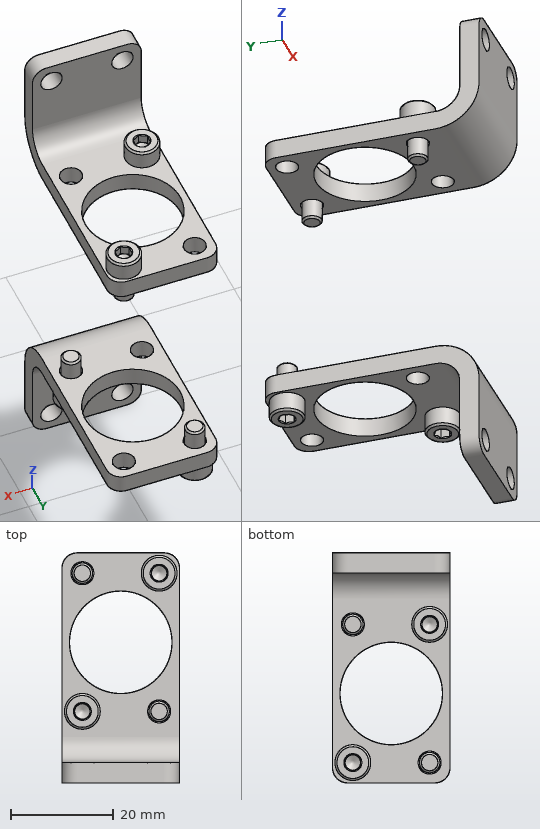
import cadquery as cq
import math

overall_height = 100.0

width = 23.0
plate_length = 45.0
leg_height = 25.0
thickness = 4.0
inner_bend_radius = 5.0
outer_bend_radius = inner_bend_radius + thickness
corner_radius = 3.0
bore_diameter = 20.0
clearance_diameter = 4.5
edge_distance = 4.0
hole_pitch_x = width - 2 * edge_distance
hole_pitch_y = 27.0

plate_end_y = hole_pitch_y / 2 + edge_distance
leg_face_y = plate_end_y - plate_length
plate_bottom_z = overall_height / 2 - leg_height
plate_top_z = plate_bottom_z + thickness
leg_top_z = plate_bottom_z + leg_height

head_diameter = 7.0
head_height = 4.0
head_chamfer = 0.4
shank_diameter = 4.0
shank_length = 8.0
tip_chamfer = 0.4
socket_across_flats = 3.0
socket_depth = 2.0
socket_mouth_diameter = 3.5
socket_point_angle = 120.0

screw_places = [
    (hole_pitch_x / 2, hole_pitch_y / 2),
    (-hole_pitch_x / 2, -hole_pitch_y / 2),
]


def make_angle_blank():
    """Bent plate with its two free ends still square."""
    profile = (
        cq.Workplane("YZ")
        .moveTo(leg_face_y, leg_top_z)
        .lineTo(leg_face_y, plate_bottom_z + outer_bend_radius)
        .radiusArc((leg_face_y + outer_bend_radius, plate_bottom_z), -outer_bend_radius)
        .lineTo(plate_end_y, plate_bottom_z)
        .lineTo(plate_end_y, plate_top_z)
        .lineTo(leg_face_y + outer_bend_radius, plate_top_z)
        .radiusArc((leg_face_y + thickness, plate_bottom_z + outer_bend_radius), inner_bend_radius)
        .lineTo(leg_face_y + thickness, leg_top_z)
        .close()
    )
    return profile.extrude(width / 2, both=True)


def make_bracket():
    """Upper bracket, with rounded free corners, bore and clearance holes."""
    bracket = make_angle_blank()
    bracket = bracket.faces(">Y").edges("|Z").fillet(corner_radius)
    bracket = bracket.faces(">Z").edges("|Y").fillet(corner_radius)

    bore = (
        cq.Workplane("XY", origin=(0, 0, plate_bottom_z))
        .circle(bore_diameter / 2)
        .extrude(thickness)
    )
    plate_holes = (
        cq.Workplane("XY", origin=(0, 0, plate_bottom_z))
        .rect(hole_pitch_x, hole_pitch_y, forConstruction=True)
        .vertices()
        .circle(clearance_diameter / 2)
        .extrude(thickness)
    )
    leg_holes = (
        cq.Workplane("XZ", origin=(0, leg_face_y, leg_top_z - edge_distance))
        .pushPoints([(-hole_pitch_x / 2, 0), (hole_pitch_x / 2, 0)])
        .circle(clearance_diameter / 2)
        .extrude(-thickness)
    )
    return bracket.cut(bore).cut(plate_holes).cut(leg_holes)


def make_screw(x, y):
    """Cap screw at (x, y) with its head resting on the upper bracket's plate."""
    seat = cq.Workplane("XY", origin=(x, y, plate_top_z))
    head = seat.circle(head_diameter / 2).extrude(head_height)
    head = head.faces(">Z").edges().chamfer(head_chamfer)
    shank = seat.circle(shank_diameter / 2).extrude(-shank_length)
    shank = shank.faces("<Z").edges().chamfer(tip_chamfer)

    drill_radius = socket_across_flats / 2
    point_depth = drill_radius / math.tan(math.radians(socket_point_angle / 2))
    socket_floor_z = plate_top_z + head_height - socket_depth
    socket = (
        cq.Workplane("XY", origin=(x, y, socket_floor_z))
        .polygon(6, socket_across_flats, circumscribed=True)
        .extrude(socket_depth)
    )
    point = cq.Solid.makeCone(
        drill_radius, 0, point_depth,
        pnt=cq.Vector(x, y, socket_floor_z), dir=cq.Vector(0, 0, -1),
    )
    mouth_radius = socket_mouth_diameter / 2
    mouth = cq.Solid.makeCone(
        mouth_radius, 0, mouth_radius,
        pnt=cq.Vector(x, y, plate_top_z + head_height), dir=cq.Vector(0, 0, -1),
    )
    screw = head.union(shank)
    return screw.cut(socket).cut(cq.Workplane(point)).cut(cq.Workplane(mouth))


def turn_over(body):
    """Carry a body of the upper assembly to the lower one: half a turn about Y."""
    return body.rotate((0, 0, 0), (0, 1, 0), 180)


upper_bracket = make_bracket()
lower_bracket = turn_over(upper_bracket)

screws = []
for screw_x, screw_y in screw_places:
    upper_screw = make_screw(screw_x, screw_y)
    screws.append(upper_screw.val())
    screws.append(turn_over(upper_screw).val())

result = cq.Compound.makeCompound([upper_bracket.val(), lower_bracket.val(), *screws])